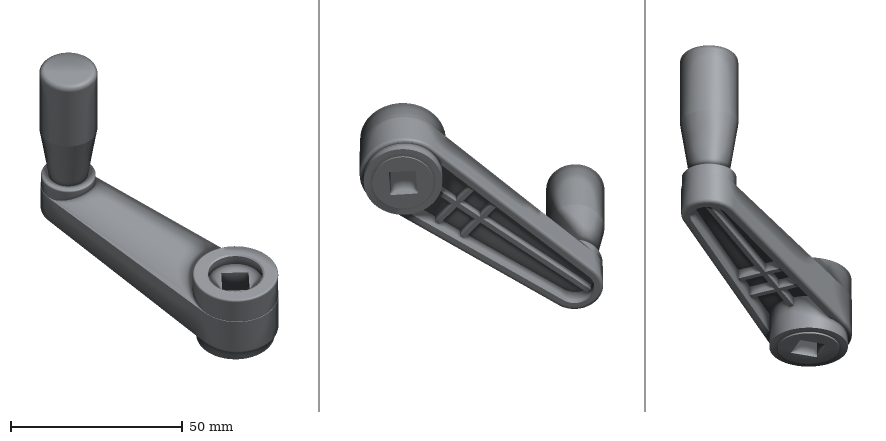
import cadquery as cq
import math


arm_length = 66.35
arm_hub_radius = 12.65
arm_grip_radius = 8.15
underside_height = 4.2
underside_angle = 5.0
shoulder_height = 16.15
shoulder_angle = 2.75
crown_rise = 2.5
underside_fillet = 1.0

hub_top = 23.8
hub_diameter = 25.0
hub_fillet = 0.6
sleeve_diameter = 22.95
foot_diameter = 18.0
foot_height = 0.5
counterbore_diameter = 16.0
counterbore_depth = 3.25
counterbore_rim_diameter = 17.0
counterbore_rim_height = 0.3
square_side = 8.0

boss_diameter = 16.0
boss_fillet = 0.5
grip_diameter = 17.0
grip_neck_diameter = 11.6
grip_cone_bottom = 24.0
grip_cone_top = 41.3
grip_top = 63.68
grip_fillet = 1.6

pocket_wall = 2.6
pocket_depth = 6.0
rib_thickness = 1.5
rib_recess = 3.1
cross_rib_positions = (-20.6, -29.7)

side_angle = math.asin((arm_hub_radius - arm_grip_radius) / arm_length)


def sloped_height(height_at_hub, angle, x):
    """Height at x of a plane that falls towards +X."""
    return height_at_hub - x * math.tan(math.radians(angle))


def tangent_point(center_x, radius):
    """Point where a side wall touches an end circle of the arm, on the +Y side."""
    return center_x - radius * math.sin(side_angle), radius * math.cos(side_angle)


def arm_outline(hub_radius, grip_radius):
    """Two end circles joined by their common tangents."""
    hub_x, hub_y = tangent_point(0, hub_radius)
    grip_x, grip_y = tangent_point(-arm_length, grip_radius)
    return (
        cq.Workplane("XY")
        .moveTo(hub_x, hub_y)
        .lineTo(grip_x, grip_y)
        .threePointArc((-arm_length - grip_radius, 0), (grip_x, -grip_y))
        .lineTo(hub_x, -hub_y)
        .threePointArc((hub_radius, 0), (hub_x, hub_y))
        .close()
    )


def sloped_slab(x_start, x_end, width, bottom, bottom_angle, top, top_angle):
    """Block between two sloped planes, centred on Y; heights are given at the hub axis."""
    return (
        cq.Workplane("XZ")
        .polyline([
            (x_start, sloped_height(bottom, bottom_angle, x_start)),
            (x_end, sloped_height(bottom, bottom_angle, x_end)),
            (x_end, sloped_height(top, top_angle, x_end)),
            (x_start, sloped_height(top, top_angle, x_start)),
        ])
        .close()
        .extrude(width / 2, both=True)
    )


def cylinder(diameter, bottom, top, center_x=0):
    return (
        cq.Workplane("XY", origin=(center_x, 0, bottom))
        .circle(diameter / 2)
        .extrude(top - bottom)
    )


def make_arm():
    slab = sloped_slab(
        -arm_length - 2 * arm_grip_radius, 2 * arm_hub_radius, 4 * arm_hub_radius,
        underside_height, underside_angle, shoulder_height, shoulder_angle,
    )
    arm = arm_outline(arm_hub_radius, arm_grip_radius).extrude(hub_top).intersect(slab)
    return arm.faces("<Z").edges().fillet(underside_fillet)


def crown_section(x, half_width):
    shoulder = sloped_height(shoulder_height, shoulder_angle, x)
    base = shoulder - crown_rise
    wire = (
        cq.Workplane("YZ", origin=(x, 0, 0))
        .moveTo(-half_width, base)
        .lineTo(-half_width, shoulder)
        .threePointArc((0, shoulder + crown_rise), (half_width, shoulder))
        .lineTo(half_width, base)
        .close()
    )
    return wire.val()


def make_crown():
    """Rounded top of the arm, ruled between arcs at the two ends of the side walls."""
    sections = [
        crown_section(*tangent_point(-arm_length, arm_grip_radius)),
        crown_section(*tangent_point(0, arm_hub_radius)),
    ]
    return cq.Workplane(cq.Solid.makeLoft(sections, True))


def make_ribs():
    """One rib along the arm and two across it, set back from the underside."""
    bottom = underside_height + rib_recess
    ceiling = underside_height + pocket_depth
    ribs = sloped_slab(
        -arm_length - arm_grip_radius, 0, rib_thickness,
        bottom, underside_angle, ceiling, underside_angle,
    )
    for x in cross_rib_positions:
        cross_rib = sloped_slab(
            x - rib_thickness / 2, x + rib_thickness / 2, 2 * arm_hub_radius,
            bottom, underside_angle, ceiling, underside_angle,
        )
        ribs = ribs.union(cross_rib)
    return ribs


def make_pocket():
    """Hollow of even wall thickness below the arm, with the ribs left standing."""
    slab = sloped_slab(
        -arm_length - arm_grip_radius, 0, 2 * arm_hub_radius,
        underside_height - pocket_depth, underside_angle,
        underside_height + pocket_depth, underside_angle,
    )
    outline = arm_outline(arm_hub_radius - pocket_wall, arm_grip_radius - pocket_wall)
    return outline.extrude(hub_top).intersect(slab).cut(make_ribs())


def make_hub():
    middle = shoulder_height - crown_rise
    upper = cylinder(hub_diameter, middle, hub_top).faces(">Z").edges().fillet(hub_fillet)
    sleeve = cylinder(sleeve_diameter, foot_height, middle)
    foot = cylinder(foot_diameter, 0, foot_height)
    return upper.union(sleeve).union(foot)


def make_hub_bore():
    """Counterbore with a bevelled rim, above a square through hole turned by 45 degrees."""
    counterbore = cylinder(counterbore_diameter, hub_top - counterbore_depth, hub_top)
    rim = (
        cq.Workplane("XY", origin=(0, 0, hub_top))
        .circle(counterbore_rim_diameter / 2)
        .workplane(offset=-counterbore_rim_height)
        .circle(counterbore_diameter / 2)
        .loft()
    )
    square = cq.Workplane("XY").rect(square_side, square_side).extrude(hub_top)
    return counterbore.union(rim).union(square.rotate((0, 0, 0), (0, 0, 1), 45))


def make_grip_boss():
    boss = cylinder(boss_diameter, shoulder_height, hub_top, -arm_length)
    return boss.faces(">Z").edges().fillet(boss_fillet)


def make_grip():
    grip = (
        cq.Workplane("XZ")
        .polyline([
            (0, hub_top),
            (grip_neck_diameter / 2, hub_top),
            (grip_neck_diameter / 2, grip_cone_bottom),
            (grip_diameter / 2, grip_cone_top),
            (grip_diameter / 2, grip_top),
            (0, grip_top),
        ])
        .close()
        .revolve(360, (0, 0, 0), (0, 1, 0))
    )
    return grip.faces(">Z").edges().fillet(grip_fillet).translate((-arm_length, 0, 0))


result = (
    make_arm()
    .union(make_crown())
    .cut(make_pocket())
    .union(make_hub())
    .union(make_grip_boss())
    .union(make_grip())
    .cut(make_hub_bore())
)